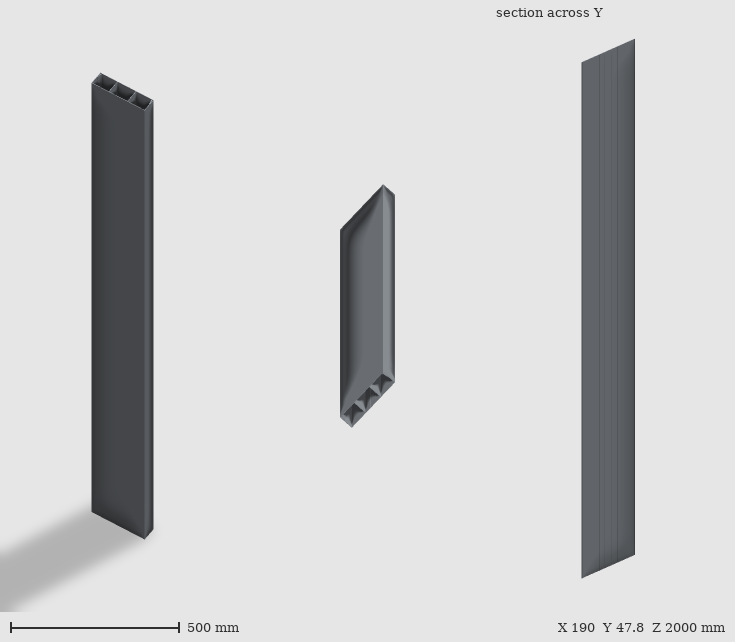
import cadquery as cq

width = 190.0
depth = 47.75
length = 2000.0

base_wall = 1.5
base_side_height = 30.0
leg_wall = 2.0
leg_lean = 0.165
leg_top_gap = 2.0
hook_reach = 2.0
hook_thickness = 1.5

divider_wall = 1.5
divider_offset = 33.1
ridge_size = 1.0
ridge_offset = 12.5

lid_wall = 1.25

half_width = width / 2
floor_y = -depth / 2
inner_floor_y = floor_y + base_wall
shoulder_y = floor_y + base_side_height
lid_outer_y = depth / 2
lid_inner_y = lid_outer_y - lid_wall
leg_top_y = lid_inner_y - leg_top_gap
lid_inner_x = half_width - lid_wall


def bar(center_x, bar_width, y_low, y_high):
    """Full-length rectangular bar."""
    return (
        cq.Workplane("XY")
        .center(center_x, (y_low + y_high) / 2)
        .rect(bar_width, y_high - y_low)
        .extrude(length)
    )


def hooked_leg():
    """Shoulder, inward-leaning leg and hook on the +X side of the base."""
    lean = leg_lean * (leg_top_y - shoulder_y)
    leg_top_x = lid_inner_x - lean
    hook_bottom_y = leg_top_y - hook_thickness
    hook_root_x = lid_inner_x - leg_wall - leg_lean * (hook_bottom_y - shoulder_y)
    hook_tip_x = leg_top_x - leg_wall - hook_reach
    shoulder_bottom_y = shoulder_y - base_wall
    outline = [
        (half_width, shoulder_bottom_y),
        (half_width, shoulder_y),
        (lid_inner_x, shoulder_y),
        (leg_top_x, leg_top_y),
        (hook_tip_x, leg_top_y),
        (hook_tip_x, hook_bottom_y),
        (hook_root_x, hook_bottom_y),
        (lid_inner_x - leg_wall, shoulder_y),
        (lid_inner_x - leg_wall, shoulder_bottom_y),
    ]
    return cq.Workplane("XY").polyline(outline).close().extrude(length)


def make_base():
    """Open tray with hooked legs, dividers that reach the lid, and floor ridges."""
    tray = bar(0, width, floor_y, shoulder_y)
    base = tray.cut(bar(0, width - 2 * base_wall, inner_floor_y, shoulder_y))
    leg = hooked_leg()
    base = base.union(leg).union(leg.mirror("YZ"))
    for side in (-1, 1):
        base = base.union(bar(side * divider_offset, divider_wall, inner_floor_y, lid_inner_y))
        base = base.union(
            bar(side * ridge_offset, ridge_size, inner_floor_y, inner_floor_y + ridge_size)
        )
    return base


def make_lid():
    """Channel-shaped lid whose sides stand on the base shoulders."""
    lid = bar(0, width, shoulder_y, lid_outer_y)
    return lid.cut(bar(0, 2 * lid_inner_x, shoulder_y, lid_inner_y))


base = make_base()
lid = make_lid()

result = cq.Compound.makeCompound([base.solids().val(), lid.solids().val()])